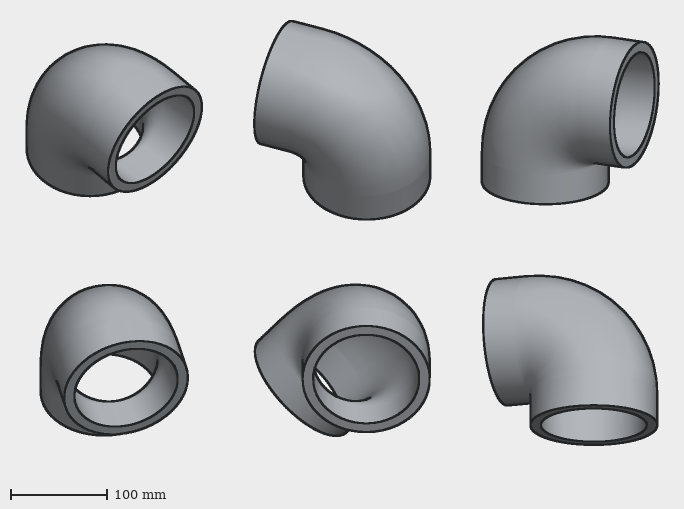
import cadquery as cq

overall_size = 166.0
outer_diameter = 132.0
bore_diameter = 110.0

inner_bend_radius = 0.5
bend_radius = outer_diameter / 2 + inner_bend_radius
collar_length = overall_size - bend_radius - outer_diameter / 2
bend_angle = 90


def elbow(diameter):
    """Solid elbow from a collar pointing down (-Z) to a collar pointing along +X.

    The lower collar is centred on the Z axis and the bend starts at Z = 0.
    """
    radius = diameter / 2
    lower_collar = cq.Workplane("XY").circle(radius).extrude(-collar_length)
    bend = (
        cq.Workplane("XY")
        .circle(radius)
        .revolve(bend_angle, (bend_radius, 0, 0), (bend_radius, 1, 0))
    )
    side_collar = (
        cq.Workplane("YZ", origin=(bend_radius, 0, bend_radius))
        .circle(radius)
        .extrude(collar_length)
    )
    return lower_collar.union(bend).union(side_collar)


result = elbow(outer_diameter).cut(elbow(bore_diameter))